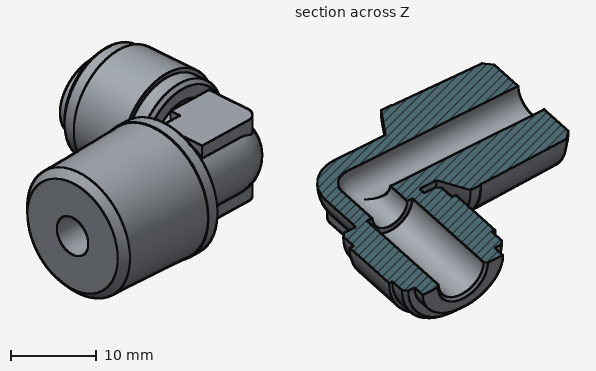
import cadquery as cq

neck_radius = 5.0
bore_radius = 2.52

button_end = 20.12
sleeve_front = 18.52
band_front = 16.1
band_back = 8.38
sleeve_back = 5.85
band_radius = 7.75
sleeve_front_radius = 7.3
sleeve_back_radius = 7.2
sleeve_chamfer = 0.52
button_half_y = 5.85
button_half_z = 5.0
tube_radius = 3.27
tube_chamfer = 0.35

shoulder_start = 7.43
flange_start = 9.6
thread_start = 11.12
thread_end = 24.95
flange_diameter = 17.5
flange_radius = flange_diameter / 2
thread_start_radius = 8.67
thread_tip_radius = 8.28
thread_chamfer = 1.0

pad_half_width = 3.27
pad_left = 4.78
pad_bottom = 6.4
pad_half_height = 5.53
pad_corner_radius = 1.85


def along_tube(start, length, radius):
    """Cylinder on the tube axis, growing away from the elbow."""
    return cq.Workplane("YZ").workplane(offset=-start).circle(radius).extrude(-length)


def make_tube_socket():
    front = along_tube(band_front, sleeve_front - band_front, sleeve_front_radius)
    front = front.faces("<X").chamfer(sleeve_chamfer)
    band = along_tube(band_back, band_front - band_back, band_radius)
    back = along_tube(sleeve_back, band_back - sleeve_back, sleeve_back_radius)
    back = back.faces(">X").chamfer(sleeve_chamfer)
    button = (
        cq.Workplane("YZ")
        .workplane(offset=-sleeve_front)
        .ellipse(button_half_y, button_half_z)
        .extrude(sleeve_front - button_end)
    )
    neck = along_tube(0, sleeve_back, neck_radius)
    return neck.union(back).union(band).union(front).union(button)


def make_threaded_end():
    chamfer_start = thread_end - thread_chamfer
    return (
        cq.Workplane("XY")
        .polyline([
            (0, 0),
            (neck_radius, 0),
            (neck_radius, -shoulder_start),
            (flange_radius, -flange_start),
            (flange_radius, -thread_start),
            (thread_start_radius, -thread_start),
            (thread_tip_radius, -chamfer_start),
            (thread_tip_radius - thread_chamfer, -thread_end),
            (0, -thread_end),
        ])
        .close()
        .revolve(360, (0, 0, 0), (0, 1, 0))
    )


def make_pads():
    """One L-shaped block through the elbow, standing proud above and below."""
    w = pad_half_width
    return (
        cq.Workplane("XY")
        .workplane(offset=-pad_half_height)
        .polyline([
            (-pad_left, w),
            (w, w),
            (w, -pad_bottom),
            (-w, -pad_bottom),
            (-w, -w),
            (-pad_left, -w),
        ])
        .close()
        .extrude(2 * pad_half_height)
        .edges("|Z and >X and >Y")
        .fillet(pad_corner_radius)
    )


def make_bore():
    """Right-angle passage with a wider tube seat and a chamfered mouth."""
    tube_bore = along_tube(0, button_end, bore_radius)
    thread_bore = cq.Workplane("XZ").circle(bore_radius).extrude(thread_end)
    corner = cq.Workplane("XY").sphere(bore_radius)
    seat = along_tube(sleeve_back, button_end - sleeve_back, tube_radius)
    mouth = (
        cq.Workplane("YZ")
        .workplane(offset=-button_end)
        .circle(tube_radius + tube_chamfer)
        .workplane(offset=tube_chamfer)
        .circle(tube_radius)
        .loft()
    )
    return tube_bore.union(thread_bore).union(corner).union(seat).union(mouth)


elbow_corner = cq.Workplane("XY").sphere(neck_radius)
body = make_tube_socket().union(make_threaded_end()).union(elbow_corner).union(make_pads())
result = body.cut(make_bore())